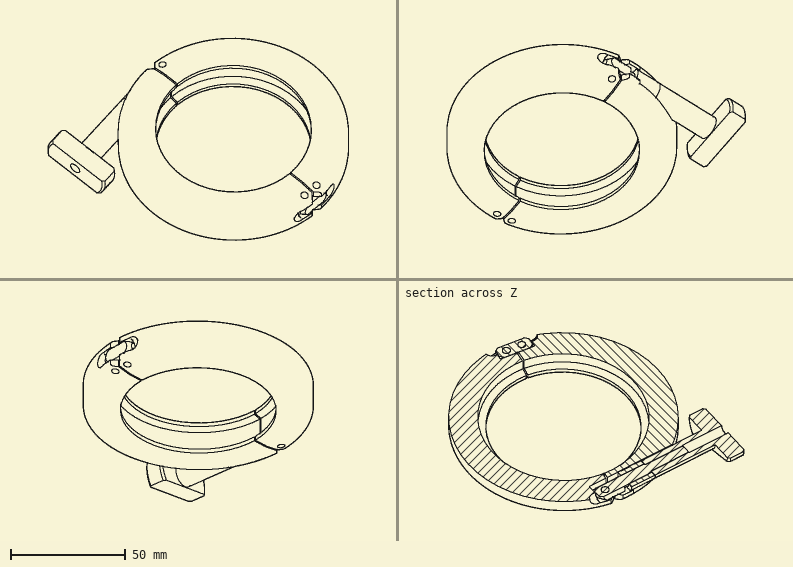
import cadquery as cq
import math


OUTER_R = 51.0
INNER_R = 34.5
GROOVE_R = 38.0
FLAT_R = 41.8
HALF_HEIGHT = 7.9
LIP_HEIGHT = 2.0
CONE_ANGLE = 10.0
LIP_ANGLE = 15.0
RIM_FILLET = 1.5
HALF_GAP = 0.3
CENTRE_SHIFT = 0.6
CORNER_CHAMFER = 2.7

PIN_X = 47.0
PIN_Y = 3.8
PIN_DIA = 3.2
BAR_WIDTH = 6.4
BAR_TIP_R = 1.9
BAR_TIP = 4.5
BAR_CONE_LENGTH = 3.4
BAR_CORNER_R = 4.6

SLOT_END = 4.6
POCKET_DIA = 11.0
RELIEF_X = 50.1
RELIEF_Y = 9.3
RELIEF_DIA = 6.8

BOLT_ANGLE = 7.1
HEAD_END = 8.3
TONGUE_START = 10.4
SLEEVE_START = 12.0
SLEEVE_END = 23.0
HANDLE_END = 63.8
SPIGOT_END = 43.0
SHANK_DIA = 10.7
HANDLE_BORE = 5.0

CROSS_R = 15.8
CROSS_THICKNESS = 8.9
CROSS_WIDTH = 11.3
CROSS_CHAMFER = 1.0
CROSS_TURN = 12.8

HALF_BAR = BAR_WIDTH / 2
SHANK_R = SHANK_DIA / 2
CONE_SLOPE = math.tan(math.radians(CONE_ANGLE))
RIM_Z = HALF_HEIGHT - (OUTER_R - FLAT_R) * CONE_SLOPE
LIP_Z = HALF_HEIGHT - LIP_HEIGHT
GROOVE_Z = LIP_Z - (GROOVE_R - INNER_R) * math.tan(math.radians(LIP_ANGLE))


def span_box(x0, x1, y0, y1, z_width):
    """Box between two X and two Y values, centred on Z = 0."""
    return (
        cq.Workplane("XY")
        .box(abs(x1 - x0), abs(y1 - y0), z_width)
        .translate(((x0 + x1) / 2, (y0 + y1) / 2, 0))
    )


def rod(diameter, start, end):
    """Round rod along -Y, between two distances from the origin."""
    return cq.Workplane("XZ").workplane(offset=start).circle(diameter / 2).extrude(end - start)


def on_bolt(shape):
    """Move a shape built along -Y onto the tilted axis of the swing bolt."""
    return shape.rotate((0, 0, 0), (0, 0, 1), BOLT_ANGLE).translate((-PIN_X, PIN_Y, 0))


def pin_at(x, y, half):
    """Pin through a half ring, its ends flush with the cones."""
    bar = (
        cq.Workplane("XY", origin=(x, y, -HALF_HEIGHT))
        .circle(PIN_DIA / 2)
        .extrude(2 * HALF_HEIGHT)
    )
    return bar.intersect(half)


def bar_tip_envelope(far_end):
    """Turned outline of a bar: a cone at the +Y tip, then straight to far_end along -Y."""
    return (
        cq.Workplane("XY")
        .moveTo(0, BAR_TIP)
        .lineTo(BAR_TIP_R, BAR_TIP)
        .lineTo(BAR_CORNER_R, BAR_TIP - BAR_CONE_LENGTH)
        .lineTo(BAR_CORNER_R, -far_end)
        .lineTo(0, -far_end)
        .close()
        .revolve(360, (0, 0, 0), (0, 1, 0))
    )


def square_bar(far_end):
    """Square bar with a cone-shaped tip, its pin hole centre at the origin."""
    blank = span_box(-HALF_BAR, HALF_BAR, -far_end, BAR_TIP, BAR_WIDTH)
    return blank.intersect(bar_tip_envelope(far_end))




def half_blank(side_y):
    """Half of the ring, on the +Y (1) or the -Y (-1) side, before its ends and slots are cut.

    The centre of its arcs lies CENTRE_SHIFT beyond the parting plane.
    """
    section = (
        cq.Workplane("XZ")
        .moveTo(INNER_R, HALF_HEIGHT)
        .lineTo(FLAT_R, HALF_HEIGHT)
        .lineTo(OUTER_R, RIM_Z)
        .lineTo(OUTER_R, -RIM_Z)
        .lineTo(FLAT_R, -HALF_HEIGHT)
        .lineTo(INNER_R, -HALF_HEIGHT)
        .lineTo(INNER_R, -LIP_Z)
        .lineTo(GROOVE_R, -GROOVE_Z)
        .lineTo(GROOVE_R, GROOVE_Z)
        .lineTo(INNER_R, LIP_Z)
        .close()
    )
    half = section.revolve(180, (0, 0, 0), (0, side_y, 0))
    half = half.edges("%CIRCLE").edges(cq.selectors.RadiusNthSelector(-1)).fillet(RIM_FILLET)
    half = half.translate((0, -side_y * CENTRE_SHIFT, 0))
    depth = side_y * 2 * OUTER_R
    return half.intersect(span_box(-OUTER_R, OUTER_R, 0, depth, 2 * HALF_HEIGHT))


def parting_cut():
    """Gap between the halves, flared by the corner chamfers at both ends."""
    reach = OUTER_R + 1.1
    chamfer_start = OUTER_R - CORNER_CHAMFER
    flare = HALF_GAP + reach - chamfer_start
    return (
        cq.Workplane("XY")
        .workplane(offset=-HALF_HEIGHT)
        .polyline(
            [
                (-chamfer_start, HALF_GAP),
                (chamfer_start, HALF_GAP),
                (reach, flare),
                (reach, -flare),
                (chamfer_start, -HALF_GAP),
                (-chamfer_start, -HALF_GAP),
                (-reach, -flare),
                (-reach, flare),
            ]
        )
        .close()
        .extrude(2 * HALF_HEIGHT)
    )


def slot_relief(side_x, side_y):
    """Ball-shaped hollow that rounds off the end of a slot in the outer wall."""
    place = (side_x * RELIEF_X, side_y * RELIEF_Y, 0)
    return cq.Workplane("XY").sphere(RELIEF_DIA / 2).translate(place)


def hinge_slot():
    """Slot across both halves for the link."""
    end = PIN_Y + SLOT_END
    slot = span_box(PIN_X - HALF_BAR, OUTER_R + 1.1, -end, end, BAR_WIDTH)
    return slot.union(slot_relief(1, 1)).union(slot_relief(1, -1))


def bolt_slot():
    """Slot across both halves for the swing bolt and the tongue of the sleeve."""
    slot = span_box(-SHANK_DIA, SHANK_R, -SLEEVE_START, SLOT_END, BAR_WIDTH)
    return on_bolt(slot).union(slot_relief(-1, 1))


def sleeve_pocket():
    """Round-bottomed channel for the sleeve and handle, open to the outside."""
    channel = rod(POCKET_DIA, SLEEVE_START, HANDLE_END)
    opening = span_box(-SHANK_DIA, 0, -HANDLE_END, -SLEEVE_START, POCKET_DIA)
    return on_bolt(channel.union(opening))




def make_swing_bolt():
    """Square head, round neck through the sleeve, and a thinner spigot in the handle."""
    bolt = square_bar(HEAD_END)
    bolt = bolt.union(rod(BAR_WIDTH, HEAD_END, SLEEVE_END))
    bolt = bolt.union(rod(HANDLE_BORE, SLEEVE_END, SPIGOT_END))
    return on_bolt(bolt)


def make_sleeve():
    """Collar seated in the pocket, with a tongue that fits the bolt slot."""
    body = rod(SHANK_DIA, SLEEVE_START, SLEEVE_END)
    tongue_slab = span_box(-SHANK_R, SHANK_R, -SLEEVE_START, -TONGUE_START, BAR_WIDTH)
    tongue = rod(SHANK_DIA, TONGUE_START, SLEEVE_START).intersect(tongue_slab)
    bore = rod(BAR_WIDTH, TONGUE_START, SLEEVE_END)
    return on_bolt(body.union(tongue).cut(bore))


def make_handle():
    """Shank with a cross bar: a chamfered disc cut down to two flats."""
    cross_start = HANDLE_END - CROSS_THICKNESS
    disc = rod(2 * CROSS_R, cross_start, HANDLE_END).edges("%CIRCLE").chamfer(CROSS_CHAMFER)
    flats = span_box(-CROSS_R, CROSS_R, -HANDLE_END, -cross_start, CROSS_WIDTH)
    cross_bar = disc.intersect(flats).rotate((0, 0, 0), (0, 1, 0), CROSS_TURN)
    handle = rod(SHANK_DIA, SLEEVE_END, cross_start).union(cross_bar)
    return on_bolt(handle.cut(rod(HANDLE_BORE, SLEEVE_END, HANDLE_END)))


def make_link():
    """Square bar with a cone at each end, spanning the two hinge pins."""
    upper = square_bar(PIN_Y).translate((0, PIN_Y, 0))
    return upper.union(upper.mirror("XZ")).translate((PIN_X, 0, 0))



upper_half = half_blank(1)
lower_half = half_blank(-1)
bolt_pin = pin_at(-PIN_X, PIN_Y, upper_half)
hinge_pins = [pin_at(PIN_X, PIN_Y, upper_half), pin_at(PIN_X, -PIN_Y, lower_half)]

for cutter in [parting_cut(), hinge_slot(), bolt_slot(), bolt_pin, *hinge_pins]:
    upper_half = upper_half.cut(cutter)
    lower_half = lower_half.cut(cutter)
lower_half = lower_half.cut(sleeve_pocket())

swing_bolt = make_swing_bolt().cut(bolt_pin)
link = make_link()
for hinge_pin in hinge_pins:
    link = link.cut(hinge_pin)
sleeve = make_sleeve()
handle = make_handle()

result = cq.Compound.makeCompound(
    [
        upper_half.val(),
        lower_half.val(),
        swing_bolt.val(),
        sleeve.val(),
        handle.val(),
        link.val(),
        bolt_pin.val(),
        *[hinge_pin.val() for hinge_pin in hinge_pins],
    ]
)